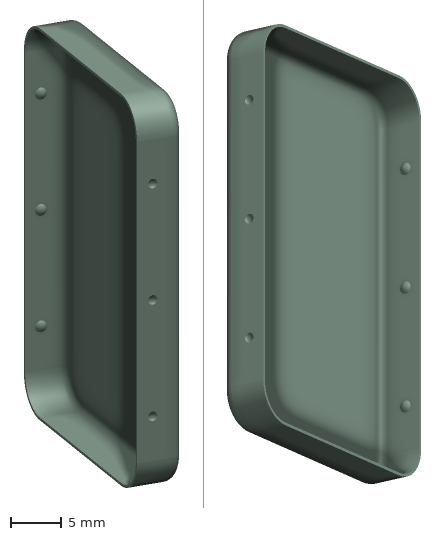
import cadquery as cq
import math

width = 27.1
depth = 5.0
height = 42.1
wall = 0.3
corner_radius = 3.8
floor_edge_radius = 1.1

dimple_radius = 0.5
dimple_rise = 0.25
dimple_pitch = 12.5
dimple_from_rim = 1.73

rim_y = -depth / 2
dimple_sphere_radius = (dimple_radius**2 + dimple_rise**2) / (2 * dimple_rise)


def rounded_block(inset):
    """Block inset from the outer skin, with rounded corners and floor edge."""
    return (
        cq.Workplane("XZ", origin=(0, rim_y, 0))
        .rect(width - 2 * inset, height - 2 * inset)
        .extrude(-(depth - inset))
        .edges("|Y")
        .fillet(corner_radius - inset)
        .faces(">Y")
        .edges()
        .fillet(floor_edge_radius - inset)
    )


def dimple_cap(side, z, inset):
    """Spherical cap rising inward from a side wall plane, concentric for every inset."""
    cap_radius = dimple_sphere_radius + inset
    half_arc = math.acos((cap_radius - dimple_rise) / cap_radius) / 2
    base_radius = cap_radius * math.sin(2 * half_arc)
    base_x = side * (width / 2 - inset)
    tip_x = base_x - side * dimple_rise
    arc_x = tip_x + side * cap_radius * (1 - math.cos(half_arc))
    arc_y = cap_radius * math.sin(half_arc)
    return (
        cq.Workplane("XY")
        .moveTo(base_x, 0)
        .lineTo(base_x, base_radius)
        .threePointArc((arc_x, arc_y), (tip_x, 0))
        .close()
        .revolve(360, (0, 0, 0), (1, 0, 0))
        .translate((0, rim_y + dimple_from_rim, z))
    )


result = rounded_block(0).cut(rounded_block(wall))

for side in (-1, 1):
    for z in (-dimple_pitch, 0, dimple_pitch):
        result = result.union(dimple_cap(side, z, wall))
        result = result.cut(dimple_cap(side, z, 0))